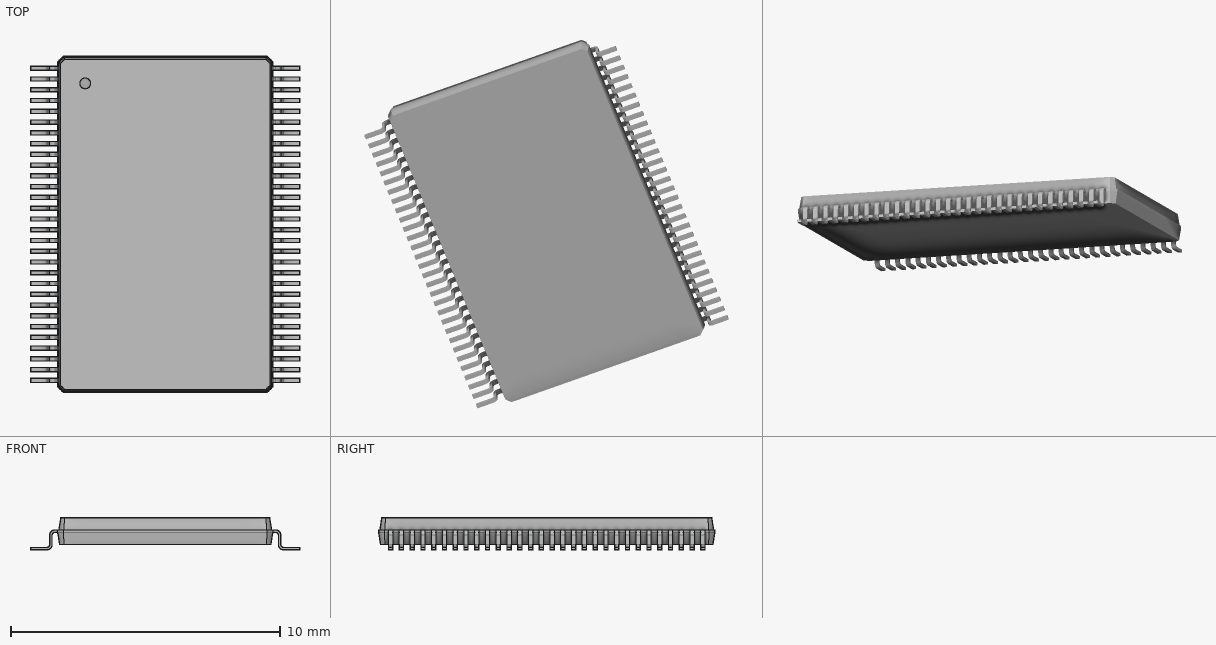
import cadquery as cq
import math

span_x = 10.0
body_length = 12.5
height = 1.2

body_width = 8.0
standoff = 0.2
corner_chamfer = 0.21
draft_inset = 0.072
ledge = 0.044

lead_count = 30
lead_pitch = 0.4
lead_width = 0.16
lead_thickness = 0.1
lead_top = 0.75
leg_outer_x = 4.3
bend_inner_radius = 0.1
lead_embed = 0.12

mark_diameter = 0.4
mark_depth = 0.05
mark_x = -2.98
mark_y = 5.24

band_bottom = lead_top - lead_thickness
draft_angle = math.degrees(math.atan(draft_inset / (height - lead_top)))


def make_body():
    """Straight parting band with a drafted half below it and a stepped-in drafted half above it."""
    band = cq.Workplane("XY", origin=(0, 0, band_bottom)).rect(body_width, body_length)
    band = band.extrude(lead_thickness).edges("|Z").chamfer(corner_chamfer)
    upper = band.faces(">Z").wires().toPending().offset2D(-ledge)
    upper = upper.workplane().extrude(height - lead_top, taper=draft_angle, combine=False)
    lower = band.faces("<Z").wires().toPending()
    lower = lower.workplane().extrude(band_bottom - standoff, taper=draft_angle, combine=False)
    return band.union(upper).union(lower)


def make_lead():
    """Gull-wing lead on the +X side, centred on Y = 0."""
    inner = bend_inner_radius
    outer = inner + lead_thickness
    diagonal = math.sqrt(0.5)
    tip_x = span_x / 2
    root_x = body_width / 2 - lead_embed
    top_cx = leg_outer_x - outer
    top_cz = lead_top - outer
    foot_cx = leg_outer_x + inner
    foot_cz = outer
    profile = (
        cq.Workplane("XZ", origin=(0, lead_width / 2, 0))
        .moveTo(root_x, lead_top)
        .lineTo(top_cx, lead_top)
        .threePointArc((top_cx + outer * diagonal, top_cz + outer * diagonal), (leg_outer_x, top_cz))
        .lineTo(leg_outer_x, foot_cz)
        .threePointArc((foot_cx - inner * diagonal, foot_cz - inner * diagonal), (foot_cx, lead_thickness))
        .lineTo(tip_x, lead_thickness)
        .lineTo(tip_x, 0)
        .lineTo(foot_cx, 0)
        .threePointArc(
            (foot_cx - outer * diagonal, foot_cz - outer * diagonal),
            (leg_outer_x - lead_thickness, foot_cz),
        )
        .lineTo(leg_outer_x - lead_thickness, top_cz)
        .threePointArc((top_cx + inner * diagonal, top_cz + inner * diagonal), (top_cx, band_bottom))
        .lineTo(root_x, band_bottom)
        .close()
    )
    return profile.extrude(lead_width)


def make_leads():
    """Both lead rows, evenly spaced about the middle of the body."""
    right_lead = make_lead().val()
    left_lead = right_lead.mirror("YZ")
    first_y = -lead_pitch * (lead_count - 1) / 2
    leads = []
    for index in range(lead_count):
        offset = cq.Vector(0, first_y + index * lead_pitch, 0)
        leads.append(right_lead.translate(offset))
        leads.append(left_lead.translate(offset))
    return leads


def make_pin_mark():
    """Cutter for the shallow round dimple beside pin 1."""
    mark = cq.Workplane("XY", origin=(mark_x, mark_y, height - mark_depth))
    return mark.circle(mark_diameter / 2).extrude(mark_depth)


body = make_body().cut(make_pin_mark())
result = cq.Workplane("XY").newObject([body.val().fuse(*make_leads())])